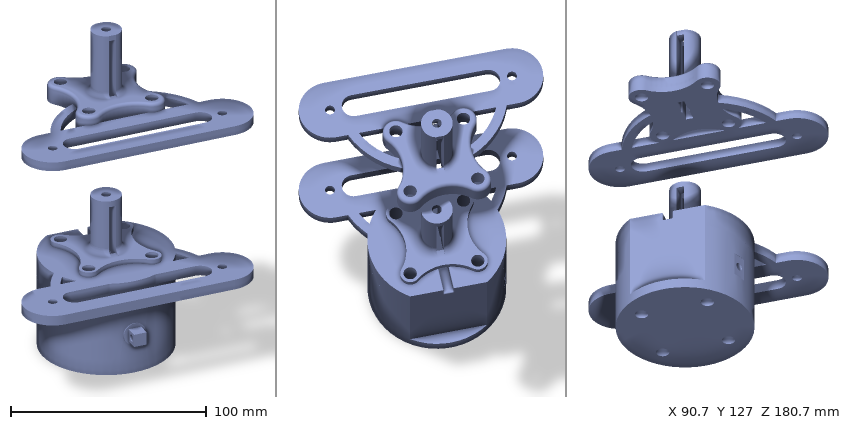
import cadquery as cq
import math


BODY_RADIUS = 35.5
FLAT_X = -29.25
LEDGE_HEIGHT = 5.4
HOUSING_HEIGHT = 40.1
LID_TOP = 52.5

BRACKET_LENGTH = 127.0
BRACKET_WIDTH = 32.0
BRACKET_RADIUS = BRACKET_WIDTH / 2
OVERALL_LENGTH_X = 90.68
BRACKET_X = OVERALL_LENGTH_X - BODY_RADIUS - BRACKET_RADIUS
BRACKET_HOLE_DIAMETER = 5.0
BRACKET_HOLE_SPACING = BRACKET_LENGTH - 2 * BRACKET_RADIUS
BRACKET_SLOT_LENGTH = 82.5
BRACKET_SLOT_WIDTH = 12.2
ARM_OUTER_RADIUS = 44.4
ARM_WIDTH = 5.1
LID_BRACKET_THICKNESS = 5.5

STAR_HOLE_OFFSET = 17.65
STAR_HOLE_DIAMETER = 6.8
STAR_HOLLOW_RADIUS = 21.2
FLANGE_CORNER_RADIUS = 5.05
FLANGE_THICKNESS = 2.8
COVER_CORNER_RADIUS = 6.75
COVER_THICKNESS = 10.0
COVER_EDGE_FILLET = 1.75
COVER_BOTTOM = 135.8
COVER_BRACKET_THICKNESS = 5.0

SHAFT_DIAMETER = 16.2
SHAFT_BORE_DIAMETER = 5.0
SHAFT_SLOT_WIDTH = 3.9
SHAFT_SLOT_LENGTH = 15.5
FLANGE_SHAFT_TOP = 85.65
FLANGE_SHAFT_CAP = 3.3
FLANGE_FOOT_FILLET = 3.2
COVER_SHAFT_TOP = 180.65
COVER_SHAFT_CAP = 2.9
COVER_FOOT_FILLET = 2.55

GROOVE_WIDTH = 5.2
GROOVE_DEPTH = 4.3
GROOVE_END_X = -13.0
GROOVE_RIM_FILLET = 0.5
GROOVE_FLOOR_FILLET = 0.6

CROSS_AXIS_Z = 22.3
ROD_DIAMETER = 12.2
ROD_END_X = 35.9
EYE_SIZE = 7.0
EYE_HOLE_DIAMETER = 3.8
EYE_HOLE_X = 39.5

PLUG_ANGLE = 20.7
PLUG_WIDTH = 7.7
PLUG_HEIGHT = 13.0
PLUG_DEPTH = 12.0
PLUG_FACE_RADIUS = math.sqrt(BODY_RADIUS**2 - (PLUG_WIDTH / 2) ** 2)
PLUG_HOLE_DIAMETER = 4.4


def cylinder(radius, bottom, top):
    return cq.Workplane("XY", origin=(0, 0, bottom)).circle(radius).extrude(top - bottom)


def remove_flat(body, bottom, top):
    """Cut away everything on the -X side of the flat between two heights."""
    size = 2 * BODY_RADIUS
    waste = cq.Workplane("XY", origin=(FLAT_X - size / 2, 0, bottom)).rect(size, size).extrude(top - bottom)
    return body.cut(waste)


def star_holes(bottom, top):
    offset = STAR_HOLE_OFFSET
    corners = [(x, y) for x in (-offset, offset) for y in (-offset, offset)]
    return (
        cq.Workplane("XY", origin=(0, 0, bottom))
        .pushPoints(corners)
        .circle(STAR_HOLE_DIAMETER / 2)
        .extrude(top - bottom)
    )


def star_plate(corner_radius, hollow_radius, bottom, thickness):
    """Four-cornered star whose rounded corners run tangentially into hollow arcs."""
    offset = STAR_HOLE_OFFSET
    tilt = math.acos(offset / (corner_radius + hollow_radius))
    hollow_center = offset + (corner_radius + hollow_radius) * math.sin(tilt)
    hollow_middle = hollow_center - hollow_radius
    near = offset - corner_radius * math.cos(tilt)
    far = offset + corner_radius * math.sin(tilt)
    tip = offset + corner_radius / math.sqrt(2)

    outline = cq.Workplane("XY", origin=(0, 0, bottom)).moveTo(far, -near)
    for quarter in range(4):
        cos, sin = round(math.cos(quarter * math.pi / 2)), round(math.sin(quarter * math.pi / 2))
        hollow, corner_start, corner_tip, corner_end = [
            (x * cos - y * sin, x * sin + y * cos)
            for x, y in ((hollow_middle, 0), (far, near), (tip, tip), (near, far))
        ]
        outline = outline.threePointArc(hollow, corner_start).threePointArc(corner_tip, corner_end)
    return outline.close().extrude(thickness)


def flared_shaft(base, top, foot_fillet):
    """Shaft whose foot flares out to meet the plate below it."""
    radius = SHAFT_DIAMETER / 2
    arc_step = foot_fillet * (1 - math.sqrt(0.5))
    return (
        cq.Workplane("XZ")
        .moveTo(0, base)
        .lineTo(radius + foot_fillet, base)
        .threePointArc((radius + arc_step, base + arc_step), (radius, base + foot_fillet))
        .lineTo(radius, top)
        .lineTo(0, top)
        .close()
        .revolve(360, (0, 0, 0), (0, 1, 0))
    )


def shaft_cuts(bottom, plate_top, cap_bottom, top):
    """Axial bore, and a slot across X up to the cap: wide through the foot, shorter in the plate."""
    slot = cq.Workplane("XY", origin=(0, 0, bottom)).rect(SHAFT_SLOT_LENGTH, SHAFT_SLOT_WIDTH)
    foot_slot = cq.Workplane("XY", origin=(0, 0, plate_top)).rect(2 * SHAFT_DIAMETER, SHAFT_SLOT_WIDTH)
    return (
        slot.extrude(cap_bottom - bottom)
        .union(foot_slot.extrude(cap_bottom - plate_top))
        .union(cylinder(SHAFT_BORE_DIAMETER / 2, bottom, top))
    )


def bracket(bottom, thickness):
    """Stadium plate with a long slot, two end holes and two arms curving towards the axis."""
    plane = cq.Workplane("XY", origin=(BRACKET_X, 0, bottom))
    plate = plane.slot2D(BRACKET_LENGTH, BRACKET_WIDTH, 90).extrude(thickness)
    ring = plane.circle(ARM_OUTER_RADIUS).circle(ARM_OUTER_RADIUS - ARM_WIDTH).extrude(thickness)
    arm_side = (
        plane.center(-ARM_OUTER_RADIUS, 0)
        .rect(2 * ARM_OUTER_RADIUS, BRACKET_LENGTH)
        .extrude(thickness)
    )
    slot = plane.slot2D(BRACKET_SLOT_LENGTH, BRACKET_SLOT_WIDTH, 90).extrude(thickness)
    holes = plane.rarray(1, BRACKET_HOLE_SPACING, 1, 2).circle(BRACKET_HOLE_DIAMETER / 2).extrude(thickness)
    return plate.union(ring.intersect(arm_side)).cut(slot).cut(holes)


def cross_rod():
    """Rod along X, flush with the flat, carrying a square eye with a cross hole."""
    rod = (
        cq.Workplane("YZ", origin=(FLAT_X, 0, CROSS_AXIS_Z))
        .circle(ROD_DIAMETER / 2)
        .extrude(ROD_END_X - FLAT_X)
    )
    eye = cq.Workplane("YZ", origin=(ROD_END_X, 0, CROSS_AXIS_Z)).rect(EYE_SIZE, EYE_SIZE).extrude(EYE_SIZE)
    hole = (
        cq.Workplane("XZ", origin=(EYE_HOLE_X, 0, CROSS_AXIS_Z))
        .circle(EYE_HOLE_DIAMETER / 2)
        .extrude(EYE_SIZE, both=True)
    )
    return rod.union(eye).cut(hole)


def plug_outline(plane):
    return plane.rect(PLUG_WIDTH, PLUG_HEIGHT)


def plug_hole(plane):
    return plane.circle(PLUG_HOLE_DIAMETER / 2)


def plug_prism(section, outer, depth):
    """Extrude a section inward from a distance off the axis, then turn it to the plug's direction."""
    prism = section(cq.Workplane("XZ", origin=(0, -outer, CROSS_AXIS_Z))).extrude(-depth)
    return prism.rotate((0, 0, 0), (0, 0, 1), -PLUG_ANGLE)


def wall_plug():
    """Radial block with a flat face whose upright edges meet the housing wall, and a radial hole."""
    block = plug_prism(plug_outline, PLUG_FACE_RADIUS, PLUG_DEPTH)
    return block.cut(plug_prism(plug_hole, PLUG_FACE_RADIUS, PLUG_DEPTH))


def plug_pocket():
    """Seat of the plug, open through the housing wall."""
    return plug_prism(plug_outline, BODY_RADIUS, PLUG_DEPTH + BODY_RADIUS - PLUG_FACE_RADIUS)


def housing_body():
    body = remove_flat(cylinder(BODY_RADIUS, 0, HOUSING_HEIGHT), LEDGE_HEIGHT, HOUSING_HEIGHT)
    rod_bore = (
        cq.Workplane("YZ", origin=(-BODY_RADIUS, 0, CROSS_AXIS_Z))
        .circle(ROD_DIAMETER / 2)
        .extrude(2 * BODY_RADIUS)
    )
    return body.cut(rod_bore).cut(plug_pocket()).cut(star_holes(0, HOUSING_HEIGHT))


def bracketed_lid():
    """Flat-sided lid disc with a rounded guide groove and the bracket flush with its top."""
    disc = remove_flat(cylinder(BODY_RADIUS, HOUSING_HEIGHT, LID_TOP), HOUSING_HEIGHT, LID_TOP)
    groove_length = GROOVE_END_X - FLAT_X
    groove = (
        cq.Workplane("XY", origin=(FLAT_X, 0, LID_TOP - GROOVE_DEPTH))
        .slot2D(2 * groove_length, GROOVE_WIDTH)
        .extrude(GROOVE_DEPTH)
        .faces("<Z")
        .edges()
        .fillet(GROOVE_FLOOR_FILLET)
    )
    around_groove = cq.selectors.BoxSelector(
        (FLAT_X - GROOVE_WIDTH, -GROOVE_WIDTH, LID_TOP - 2 * GROOVE_DEPTH),
        (GROOVE_END_X + GROOVE_WIDTH, GROOVE_WIDTH, LID_TOP + GROOVE_DEPTH),
    )
    rims = cq.selectors.SumSelector(
        cq.selectors.DirectionMinMaxSelector(cq.Vector(0, 0, 1), True),
        cq.selectors.DirectionMinMaxSelector(cq.Vector(1, 0, 0), False),
    )
    disc = disc.cut(groove).edges(around_groove).edges(rims).fillet(GROOVE_RIM_FILLET)
    lid = disc.union(bracket(LID_TOP - LID_BRACKET_THICKNESS, LID_BRACKET_THICKNESS))
    return lid.cut(star_holes(HOUSING_HEIGHT, LID_TOP))


def shaft_flange():
    """Thin star on the lid, its outline set in evenly from the cover's, with the lower shaft."""
    hollow_radius = STAR_HOLLOW_RADIUS + COVER_CORNER_RADIUS - FLANGE_CORNER_RADIUS
    top = LID_TOP + FLANGE_THICKNESS
    star = star_plate(FLANGE_CORNER_RADIUS, hollow_radius, LID_TOP, FLANGE_THICKNESS)
    shaft = flared_shaft(top, FLANGE_SHAFT_TOP, FLANGE_FOOT_FILLET)
    cuts = shaft_cuts(LID_TOP, top, FLANGE_SHAFT_TOP - FLANGE_SHAFT_CAP, FLANGE_SHAFT_TOP)
    return star.union(shaft).cut(cuts).cut(star_holes(LID_TOP, top))


def bracketed_cover():
    """Thick star with a rounded rim, a bracket at its bottom and the upper shaft with flats on its cap."""
    top = COVER_BOTTOM + COVER_THICKNESS
    star = star_plate(COVER_CORNER_RADIUS, STAR_HOLLOW_RADIUS, COVER_BOTTOM, COVER_THICKNESS)
    star = star.faces(">Z").edges().fillet(COVER_EDGE_FILLET)
    shaft = flared_shaft(top, COVER_SHAFT_TOP, COVER_FOOT_FILLET)
    cap_bottom = COVER_SHAFT_TOP - COVER_SHAFT_CAP
    cuts = shaft_cuts(COVER_BOTTOM, top, cap_bottom, COVER_SHAFT_TOP)
    trim_length = SHAFT_DIAMETER / 2
    trim_x = (SHAFT_SLOT_LENGTH + trim_length) / 2
    cap_flats = (
        cq.Workplane("XY", origin=(0, 0, cap_bottom))
        .pushPoints([(-trim_x, 0), (trim_x, 0)])
        .rect(trim_length, SHAFT_SLOT_WIDTH)
        .extrude(COVER_SHAFT_CAP)
    )
    cover = star.union(bracket(COVER_BOTTOM, COVER_BRACKET_THICKNESS)).union(shaft)
    return cover.cut(cuts).cut(cap_flats).cut(star_holes(COVER_BOTTOM, top))


housing = housing_body()
lid = bracketed_lid()
flange = shaft_flange()
cover = bracketed_cover()
rod = cross_rod()
plug = wall_plug()

result = cq.Compound.makeCompound(
    [housing.val(), lid.val(), flange.val(), cover.val(), rod.val(), plug.val()]
)